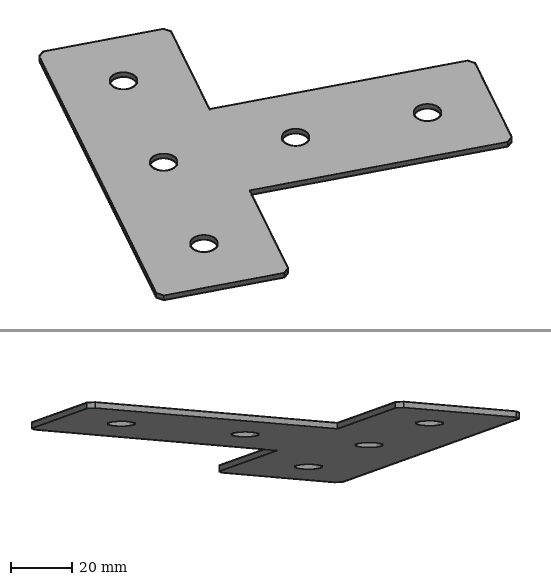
import cadquery as cq

module = 45.0
thickness = 2.0
bar_length = 3 * module
plate_height = 3 * module
corner_chamfer = 2.0
hole_diameter = 9.0

hole_centers = [
    (-module, 0),
    (0, 0),
    (module, 0),
    (0, module),
    (0, 2 * module),
]


def make_plate():
    """T-shaped plate, with the centre of the crossing on the Z axis."""
    bar = cq.Workplane("XY").rect(bar_length, module).extrude(thickness)
    stem = (
        cq.Workplane("XY")
        .center(0, (plate_height - module) / 2)
        .rect(module, plate_height)
        .extrude(thickness)
    )
    return bar.union(stem).clean()


def chamfer_outer_corners(plate):
    """Bevel the six outer corners, leaving the two inner corners sharp."""
    bar_ends = plate.edges("|Z and (<X or >X)")
    stem_end = plate.edges("|Z and >Y")
    return plate.newObject(bar_ends.vals() + stem_end.vals()).chamfer(corner_chamfer)


def drill_holes(plate):
    """Drill the row of holes along the bar and along the stem."""
    drills = (
        cq.Workplane("XY")
        .pushPoints(hole_centers)
        .circle(hole_diameter / 2)
        .extrude(thickness)
    )
    return plate.cut(drills)


result = drill_holes(chamfer_outer_corners(make_plate()))